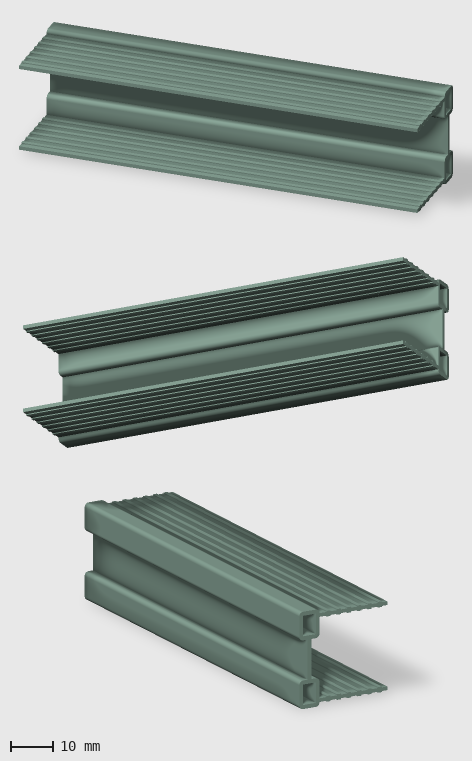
import cadquery as cq

length = 100.0
depth = 24.0
height = 24.0

box_depth = 5.5
box_spacing = 9.9
wall = 1.0
corner_radius = 1.0

flange_thickness = 0.9
flange_offset = 1.5
rib_thickness = 1.4
rib_width = 1.0
rib_count = 6
rib_pitch = 2.8
tip_to_rib = 1.5

back = depth / 2
box_height = (height - box_spacing) / 2
box_middle_y = back - box_depth / 2
box_middle_z = (height - box_height) / 2
flange_z = height / 2 - flange_offset
flange_root = back - box_depth + wall / 2
flange_tip = -depth / 2


def bar(size_y, size_z, middle_y, middle_z):
    """Rectangular bar running the full length along X."""
    return cq.Workplane("XY").box(length, size_y, size_z).translate((0, middle_y, middle_z))


def box_beam(side):
    """Rounded box with a sharp-cornered cavity; side is 1 for the top, -1 for the bottom."""
    middle_z = side * box_middle_z
    outer = bar(box_depth, box_height, box_middle_y, middle_z)
    cavity = bar(box_depth - 2 * wall, box_height - 2 * wall, box_middle_y, middle_z)
    return outer.edges("|X").fillet(corner_radius).cut(cavity)


def ribbed_flange(side):
    """Thin flange with evenly spaced ribs; side is 1 for the top, -1 for the bottom."""
    middle_z = side * flange_z
    flange = bar(flange_root - flange_tip, flange_thickness, (flange_root + flange_tip) / 2, middle_z)
    last_rib_y = flange_tip + tip_to_rib + rib_width / 2
    for i in range(rib_count):
        flange = flange.union(bar(rib_width, rib_thickness, last_rib_y + i * rib_pitch, middle_z))
    return flange


web_height = box_spacing + wall
result = bar(wall, web_height, box_middle_y, 0)

for side in (1, -1):
    result = result.union(box_beam(side)).union(ribbed_flange(side))